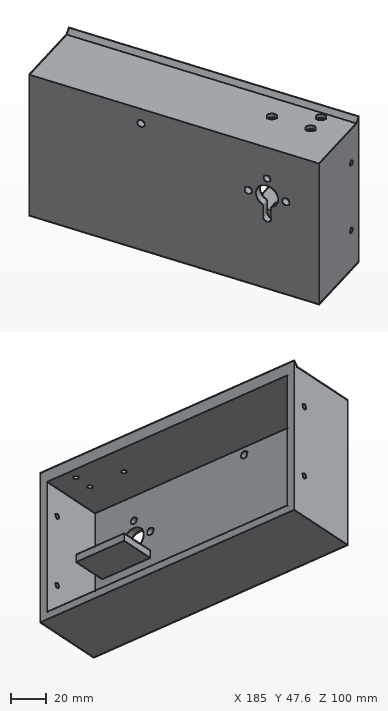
import cadquery as cq
import math

length = 185.04
depth = 47.57
total_height = 100.0
lip = 3.0
wall = 5.0
body_height = total_height - lip

lock_x = 151.8
lock_z = 63.6
keyhole_diameter = 14.2
key_slot_width = 5.0
key_slot_bottom = 46.0
key_slot_fillet = 1.5
lock_hole_offset = 12.0
lock_side_hole_diameter = 4.7
lock_top_hole_diameter = 4.3

front_hole_diameter = 4.7
front_hole_z = 87.0
open_hole_x = 71.4
plugged_hole_x = 113.6

screw_diameter = 3.2
screw_head_diameter = 6.0
screw_head_depth = 2.5
screw_left_x = 139.9
screw_spacing_x = 24.7
screw_front_y = 28.2
screw_spacing_y = 12.5

end_hole_y = depth - 9.0
end_hole_heights = (27.2, 73.5)

shelf_top = 50.8
shelf_left = lock_x - lock_hole_offset
shelf_length = 35.0
shelf_back = screw_front_y


def box(x, y, z, dx, dy, dz):
    """Box with its lowest corner at (x, y, z)."""
    return cq.Workplane("XY").box(dx, dy, dz, centered=False).translate((x, y, z))


def front_cylinder(x, z, diameter):
    """Cylinder along Y that fills the thickness of the front wall."""
    return cq.Workplane("XZ").center(x, z).circle(diameter / 2).extrude(-wall)


def make_case():
    """Open-backed box with a triangular lip along the top back edge."""
    profile = [
        (0, 0),
        (depth, 0),
        (depth, total_height),
        (depth - lip, body_height),
        (0, body_height),
    ]
    outer = cq.Workplane("YZ").polyline(profile).close().extrude(length)
    cavity = box(wall, wall, wall, length - 2 * wall, depth - wall, body_height - 2 * wall)
    return outer.cut(cavity)


def make_shelf():
    return box(shelf_left, wall, shelf_top - wall, shelf_length, shelf_back - wall, wall)


def make_keyhole():
    """Round opening with a round-ended slot running down from it."""
    slot_radius = key_slot_width / 2
    slot_end_z = key_slot_bottom + slot_radius
    slot = box(lock_x - slot_radius, 0, slot_end_z, key_slot_width, wall, lock_z - slot_end_z)
    keyhole = front_cylinder(lock_x, lock_z, keyhole_diameter)
    keyhole = keyhole.union(slot).union(front_cylinder(lock_x, slot_end_z, key_slot_width))
    corner_z = lock_z - math.sqrt((keyhole_diameter / 2) ** 2 - slot_radius**2)
    for side in (-1, 1):
        corner = (lock_x + side * slot_radius, wall / 2, corner_z)
        keyhole = keyhole.edges(cq.selectors.NearestToPointSelector(corner)).fillet(key_slot_fillet)
    return keyhole


def cut_front_holes(body):
    body = body.cut(make_keyhole())
    for side in (-1, 1):
        side_x = lock_x + side * lock_hole_offset
        body = body.cut(front_cylinder(side_x, lock_z, lock_side_hole_diameter))
    body = body.cut(front_cylinder(lock_x, lock_z + lock_hole_offset, lock_top_hole_diameter))
    for x in (open_hole_x, plugged_hole_x):
        body = body.cut(front_cylinder(x, front_hole_z, front_hole_diameter))
    return body


def cut_top_screws(body):
    screw_right_x = screw_left_x + screw_spacing_x
    screw_places = [
        (screw_left_x, screw_front_y),
        (screw_right_x, screw_front_y),
        (screw_right_x, screw_front_y + screw_spacing_y),
    ]
    top = cq.Workplane("XY").workplane(offset=body_height).pushPoints(screw_places)
    shanks = top.circle(screw_diameter / 2).extrude(-wall)
    heads = top.circle(screw_head_diameter / 2).extrude(-screw_head_depth)
    return body.cut(shanks).cut(heads)


def cut_end_holes(body):
    places = [(end_hole_y, z) for z in end_hole_heights]
    holes = cq.Workplane("YZ").pushPoints(places).circle(screw_diameter / 2).extrude(length)
    return body.cut(holes)


body = make_case().union(make_shelf())
body = cut_front_holes(body)
body = cut_top_screws(body)
body = cut_end_holes(body)

plug = front_cylinder(plugged_hole_x, front_hole_z, front_hole_diameter)
result = body.union(plug, clean=False)